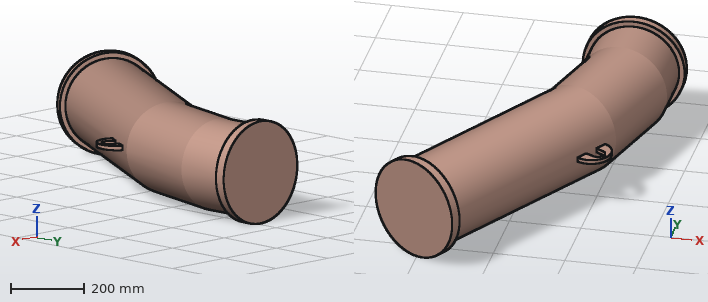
import cadquery as cq
import math

pipe_diameter = 254.0
flange_diameter = 285.0
flange_thickness = 30.0

overall_length = 1060.0
bend_angle = 15.0
first_leg = 160.0
middle_leg = 266.0

last_angle = math.radians(2 * bend_angle)
middle_rise = middle_leg * math.cos(math.radians(bend_angle))
flange_overhang = flange_diameter / 2 * math.sin(last_angle)
last_leg = (overall_length - first_leg - middle_rise - flange_overhang) / math.cos(last_angle)

lug_radius = 56.0
lug_thickness = 12.0
lug_distance = 84.0
slot_width = 40.0
slot_reach = 45.0


def heading(turn):
    """Unit vector in the XY plane, turned from -Y towards -X by an angle in degrees."""
    angle = math.radians(turn)
    return cq.Vector(-math.sin(angle), -math.cos(angle), 0)


first_direction = heading(0)
middle_direction = heading(bend_angle)
last_direction = heading(2 * bend_angle)

start = cq.Vector(0, 0, 0)
first_joint = start + first_direction * first_leg
second_joint = first_joint + middle_direction * middle_leg
end = second_joint + last_direction * last_leg


def make_pipe():
    """Solid round pipe with mitred joints."""
    corners = [point.toTuple() for point in (start, first_joint, second_joint, end)]
    centreline = cq.Workplane("XY").polyline(corners)
    section = cq.Workplane("XZ").circle(pipe_diameter / 2)
    return section.sweep(centreline, transition="right")


def make_flange(face_centre, inward):
    """Disc that starts at an end face and grows inward along the pipe."""
    disc = cq.Solid.makeCylinder(flange_diameter / 2, flange_thickness, face_centre, inward)
    return cq.Workplane(obj=disc)


def make_lug():
    """Slotted disc in the plane of the bends; its local X points out of the pipe wall."""
    outward = cq.Vector(0, 0, 1).cross(last_direction)
    centre = second_joint + last_direction * lug_distance + outward * (pipe_diameter / 2)
    plane = cq.Plane(origin=centre, xDir=outward, normal=(0, 0, 1))
    disc = cq.Workplane(plane).circle(lug_radius).extrude(lug_thickness / 2, both=True)
    slot = (
        cq.Workplane(plane)
        .slot2D(2 * slot_reach, slot_width)
        .extrude(lug_thickness, both=True)
    )
    return disc.cut(slot)


first_flange = make_flange(start, first_direction)
last_flange = make_flange(end, last_direction * -1)

result = make_pipe().union(first_flange).union(last_flange).union(make_lug())